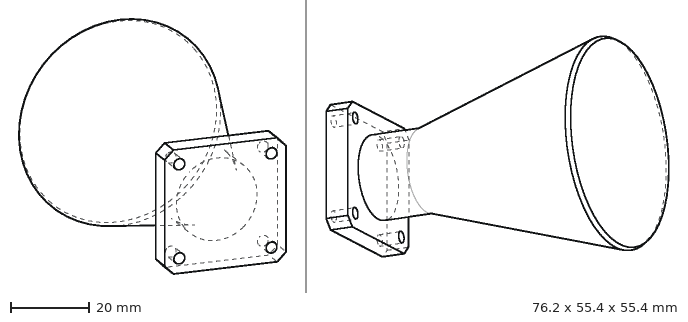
import cadquery as cq

total_length = 76.2
mouth_diameter = 55.4
rim_length = 1.2
rim_inset = 0.7
neck_diameter = 22.2
neck_length = 14.0
flange_thickness = 6.3
flange_width = 33.4
flange_corner_chamfer = 2.45
hole_spacing = 25.3
hole_diameter = 3.0

mouth_radius = mouth_diameter / 2
neck_radius = neck_diameter / 2
mouth_x = -total_length / 2
flange_x = total_length / 2 - flange_thickness
neck_x = flange_x - neck_length


def make_horn():
    """Revolve the bevelled rim, cone and cylindrical neck about the X axis."""
    profile = (
        cq.Workplane("XZ")
        .moveTo(mouth_x, 0)
        .lineTo(mouth_x, mouth_radius - rim_inset)
        .lineTo(mouth_x + rim_length, mouth_radius)
        .lineTo(neck_x, neck_radius)
        .lineTo(flange_x, neck_radius)
        .lineTo(flange_x, 0)
        .close()
    )
    return profile.revolve(360, (0, 0, 0), (1, 0, 0))


def make_flange():
    """Square plate with chamfered corners and four through holes."""
    plate = (
        cq.Workplane("YZ", origin=(flange_x, 0, 0))
        .rect(flange_width, flange_width)
        .extrude(flange_thickness)
        .edges("|X")
        .chamfer(flange_corner_chamfer)
    )
    return (
        plate.faces(">X")
        .workplane()
        .rect(hole_spacing, hole_spacing, forConstruction=True)
        .vertices()
        .hole(hole_diameter)
    )


result = make_horn().union(make_flange())